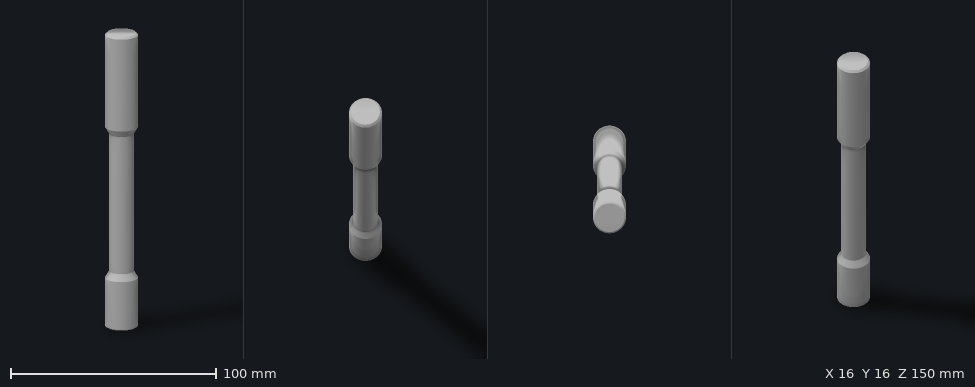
import cadquery as cq

length = 150.0
end_diameter = 16.0
neck_diameter = 12.0
top_chamfer = 1.0

plate_diameter = 15.8
plate_tip_diameter = 14.4
plate_thickness = 0.5
bevel_height = 0.2

taper_length = 3.5
lower_taper_start = 25.0
upper_taper_end = 102.0

end_radius = end_diameter / 2
neck_radius = neck_diameter / 2
plate_radius = plate_diameter / 2
plate_tip_radius = plate_tip_diameter / 2


def revolve_profile(profile):
    """Turn a closed (radius, height) outline about the Z axis."""
    return cq.Workplane("XZ").polyline(profile).close().revolve(360, (0, 0), (0, 1))


def make_stud():
    """Turned stud with a reduced neck, a bevelled lower end and a chamfered upper end."""
    return revolve_profile([
        (0, plate_thickness),
        (plate_radius, plate_thickness),
        (end_radius, plate_thickness + bevel_height),
        (end_radius, lower_taper_start),
        (neck_radius, lower_taper_start + taper_length),
        (neck_radius, upper_taper_end - taper_length),
        (end_radius, upper_taper_end),
        (end_radius, length - top_chamfer),
        (end_radius - top_chamfer, length),
        (0, length),
    ])


def make_end_plate():
    """Thin disc flat against the lower end of the stud, narrowing downward."""
    return revolve_profile([
        (0, 0),
        (plate_tip_radius, 0),
        (plate_radius, plate_thickness),
        (0, plate_thickness),
    ])


stud = make_stud()
end_plate = make_end_plate()

result = cq.Compound.makeCompound([stud.val(), end_plate.val()])